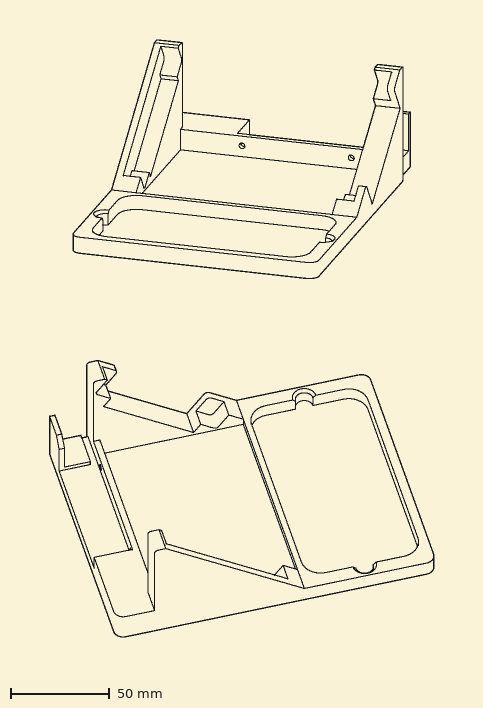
import cadquery as cq
import math

width = 130.0
length = 167.8
height = 62.1
plate_height = 8.7
corner_radius = 5.0
floor_z = 4.7

rear_height = 15.8
rail_front = 144.3
rail_thickness = 3.4
rail_rear = rail_front + rail_thickness
rear_width = 127.5
shelf_left = 42.3
shelf_height = 7.5
hole_diameter = 3.0
hole_z = 10.5
hole_places = (45.6, 103.5)

tab_left = 109.2
tab_height = 29.5
tab_thickness = 2.9
tab_chamfer = 5.2
pad_front = 151.4
pad_height = 2.2

bracket_width = 13.1
bracket_inner_right = width - bracket_width
rim_width = 3.9
slope_foot = 69.1
slope_head = 141.8
top_radius = 1.8
slope_angle = math.degrees(math.atan2(height - plate_height, slope_head - slope_foot))

seat_start = 9.4
seat_end = 88.5
seat_depth = 10.9
ledge_length = 10.2
seat_radius = 1.8
left_relief = 3.5
right_relief = 6.4
mouth_radius = 2.0

tray_left = 7.4
tray_front = 4.9
tray_rear = 66.0
tray_radius = 10.0
tray_depth = 7.5
notch_y = 35.5
notch_radius = 4.5
notch_chamfer = 1.5


def box(x0, x1, y0, y1, z0, z1):
    """Box given by its limits along each axis."""
    return cq.Workplane("XY").box(x1 - x0, y1 - y0, z1 - z0, centered=False).translate((x0, y0, z0))


def in_slope(solid):
    """Turn a solid so its Y axis runs up the slope from the slope foot."""
    turned = solid.rotate((0, 0, 0), (1, 0, 0), slope_angle)
    return turned.translate((0, slope_foot, plate_height))


def base():
    plate = box(0, width, 0, rail_rear, 0, plate_height)
    plate = plate.edges("|Z and <Y").fillet(corner_radius)
    shelf = box(0, rear_width, rail_front, length, 0, shelf_height)
    rail = box(0, rear_width, rail_front, rail_rear, 0, rear_height)
    block = box(0, shelf_left, rail_front, length, 0, rear_height)
    body = plate.union(shelf).union(rail).union(block)
    return body.edges("|Z and <X and >Y").fillet(corner_radius)


def bracket(x0):
    side = (
        cq.Workplane("YZ", origin=(x0, 0, 0))
        .moveTo(slope_foot, 0)
        .lineTo(slope_foot, plate_height)
        .lineTo(slope_head, height)
        .lineTo(rail_rear, height)
        .lineTo(rail_rear, 0)
        .close()
        .extrude(bracket_width)
    )
    return side.edges("|X and >Y and >Z").fillet(top_radius)


def seat(x0, x1):
    """Pocket with rounded inner corners, open through the slope surface."""
    pocket = box(x0, x1, seat_start, seat_end, -seat_depth, seat_depth)
    return in_slope(pocket.edges("|X and <Z").fillet(seat_radius))


def relief(x0, x1, depth):
    """Deeper cut between the two ledges of a seat."""
    start = seat_start + ledge_length
    end = seat_end - ledge_length
    return in_slope(box(x0, x1, start, end, -seat_depth - depth, 0))


def rim_mouth():
    """Cut through the right rim, flaring with a radius at the slope surface."""
    start = seat_start + ledge_length
    end = seat_end - ledge_length
    bottom = -seat_depth - right_relief
    flare = (
        cq.Workplane("YZ", origin=(width - rim_width, 0, 0))
        .moveTo(start, bottom)
        .lineTo(start, -mouth_radius)
        .radiusArc((start - mouth_radius, 0), -mouth_radius)
        .lineTo(end + mouth_radius, 0)
        .radiusArc((end, -mouth_radius), -mouth_radius)
        .lineTo(end, bottom)
        .close()
        .extrude(rim_width)
    )
    return in_slope(flare)


def rear_tab():
    tab = box(tab_left, rear_width, length - tab_thickness, length, 0, tab_height)
    tab = tab.edges("|Y and <X and >Z").chamfer(tab_chamfer)
    pad = box(tab_left, rear_width, pad_front, length, 0, shelf_height + pad_height)
    return tab.union(pad)


def tray():
    floor = plate_height - tray_depth
    pocket = box(tray_left, width - tray_left, tray_front, tray_rear, floor, plate_height)
    pocket = pocket.edges("|Z").fillet(tray_radius)
    for x in (tray_left, width - tray_left):
        notch = cq.Workplane("XY", origin=(x, notch_y, floor)).circle(notch_radius).extrude(tray_depth)
        flare = cq.Solid.makeCone(
            notch_radius,
            notch_radius + notch_chamfer,
            notch_chamfer,
            pnt=cq.Vector(x, notch_y, plate_height - notch_chamfer),
        )
        outer_x = 0 if x < width / 2 else width - tray_left
        side = box(outer_x, outer_x + tray_left, tray_front, tray_rear, floor, plate_height)
        pocket = pocket.union(notch.union(cq.Workplane(flare)).intersect(side))
    return pocket


def rail_holes():
    points = [(x, hole_z) for x in hole_places]
    plane = cq.Workplane("XZ", origin=(0, rail_rear, 0))
    return plane.pushPoints(points).circle(hole_diameter / 2).extrude(rail_thickness)


result = base()
result = result.cut(box(bracket_width, bracket_inner_right, slope_foot, rail_front, floor_z, plate_height))
result = result.union(bracket(0)).union(bracket(bracket_inner_right)).union(rear_tab())
result = result.cut(seat(rim_width, bracket_width))
result = result.cut(relief(rim_width, bracket_width, left_relief))
result = result.cut(seat(bracket_inner_right, width - rim_width))
result = result.cut(relief(bracket_inner_right, width, right_relief))
result = result.cut(rim_mouth())
result = result.cut(tray()).cut(rail_holes())